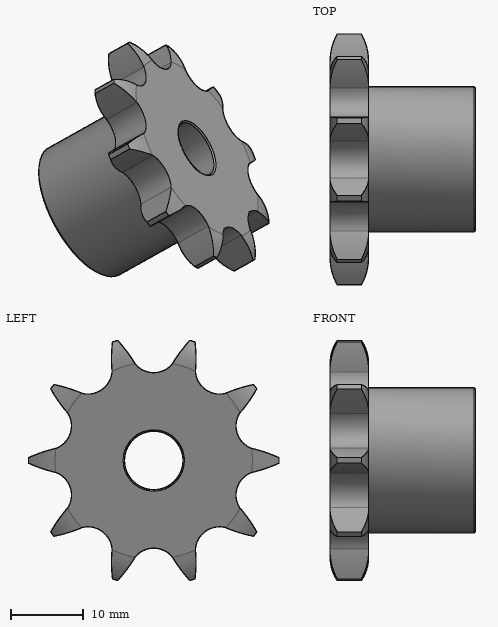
import cadquery as cq
import math

teeth = 10
tip_radius = 17.25
plate_thickness = 5.3
total_length = 20.0
hub_diameter = 20.0
bore_diameter = 8.0
edge_chamfer = 0.2

pitch_radius = 15.4
seat_radius = 3.3
seat_half_angle = 49.5
tip_half_width = 0.38
flank_bulge = 0.1
cutter_overrun = 1.72

relief_depth = 1.0
relief_start_radius = 13.55

half_pitch = math.pi / teeth


def make_blank():
    """Revolve the plate with curved side reliefs that start tangent to its faces."""
    rise = tip_radius - relief_start_radius
    relief_radius = (rise**2 + relief_depth**2) / (2 * relief_depth)
    mid_angle = math.asin(rise / relief_radius) / 2
    mid_depth = relief_radius * (1 - math.cos(mid_angle))
    mid_height = relief_start_radius + relief_radius * math.sin(mid_angle)
    return (
        cq.Workplane("XY")
        .lineTo(0, relief_start_radius)
        .threePointArc((mid_depth, mid_height), (relief_depth, tip_radius))
        .lineTo(plate_thickness - relief_depth, tip_radius)
        .threePointArc(
            (plate_thickness - mid_depth, mid_height),
            (plate_thickness, relief_start_radius),
        )
        .lineTo(plate_thickness, 0)
        .close()
        .revolve(360, (0, 0, 0), (1, 0, 0))
    )


def make_gap_cutter():
    """Cut one tooth gap, centred on the -Y direction."""
    seat_angle = math.radians(seat_half_angle)
    seat_x = seat_radius * math.sin(seat_angle)
    seat_y = pitch_radius - seat_radius * math.cos(seat_angle)

    tip_flat = math.sqrt(tip_radius**2 - tip_half_width**2)
    tip_x = tip_flat * math.sin(half_pitch) - tip_half_width * math.cos(half_pitch)
    tip_y = tip_flat * math.cos(half_pitch) + tip_half_width * math.sin(half_pitch)

    chord_x = tip_x - seat_x
    chord_y = tip_y - seat_y
    chord = math.hypot(chord_x, chord_y)
    mid_x = (seat_x + tip_x) / 2 - flank_bulge * chord_y / chord
    mid_y = (seat_y + tip_y) / 2 + flank_bulge * chord_x / chord

    outer_y = tip_radius + cutter_overrun
    return (
        cq.Workplane("YZ")
        .moveTo(-seat_y, seat_x)
        .threePointArc((-pitch_radius + seat_radius, 0), (-seat_y, -seat_x))
        .threePointArc((-mid_y, -mid_x), (-tip_y, -tip_x))
        .lineTo(-outer_y, -tip_x)
        .lineTo(-outer_y, tip_x)
        .lineTo(-tip_y, tip_x)
        .threePointArc((-mid_y, mid_x), (-seat_y, seat_x))
        .close()
        .extrude(plate_thickness)
    )


def make_hub():
    """Make the hub from the toothed face to its chamfered free end."""
    return (
        cq.Workplane("YZ")
        .circle(hub_diameter / 2)
        .extrude(total_length)
        .faces(">X")
        .chamfer(edge_chamfer)
    )


def make_bore():
    """Make the through bore with a chamfer at each mouth."""
    radius = bore_diameter / 2
    mouth = radius + edge_chamfer
    return (
        cq.Workplane("XY")
        .lineTo(0, mouth)
        .lineTo(edge_chamfer, radius)
        .lineTo(total_length - edge_chamfer, radius)
        .lineTo(total_length, mouth)
        .lineTo(total_length, 0)
        .close()
        .revolve(360, (0, 0, 0), (1, 0, 0))
    )


plate = make_blank()
gap_cutter = make_gap_cutter()
for index in range(teeth):
    gap_angle = (index + 0.5) * 360 / teeth
    plate = plate.cut(gap_cutter.rotate((0, 0, 0), (1, 0, 0), gap_angle))

result = plate.union(make_hub()).cut(make_bore())